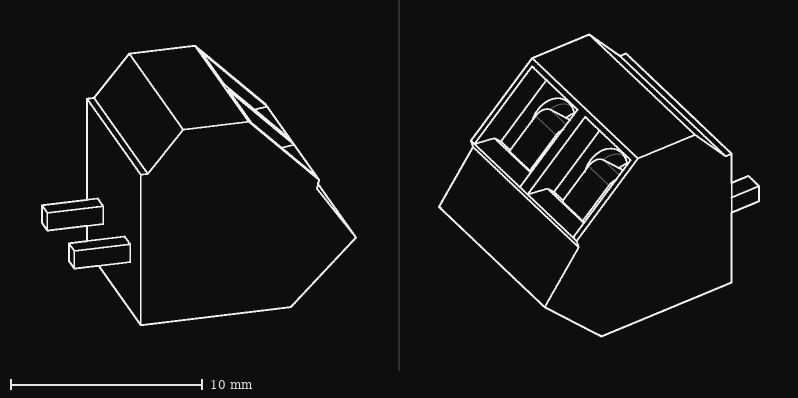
import cadquery as cq
import math


body_width = 10.01
body_depth = 11.70
body_height = 10.92
nose_height = 3.54
base_depth = 8.15
front_wall_height = 8.63
front_ledge_depth = 0.38
top_front_y = 2.30
top_back_y = 5.87
lip_drop = 3.83
lip_y = top_back_y + lip_drop
lip_z = body_height - lip_drop
lip_undercut = 0.13
lip_thickness = 0.48

pole_pitch = body_width / 2
pole_positions = (-pole_pitch / 2, pole_pitch / 2)
pin_size = 1.02
pin_length = 3.03
pin_center_z = 3.27

side_wall = 0.34
center_wall = 0.725
pocket_width = (body_width - center_wall) / 2 - side_wall
pocket_center_offset = (center_wall + pocket_width) / 2
pocket_lower_up = 0.77
pocket_upper_up = 5.09
pocket_depth = 1.57
ramp_depth = 1.0

well_mouth_radius = 1.42
well_radius = 1.30
well_taper_depth = 0.55
well_depth = 2.0
well_center_up = 3.33
clamp_width = 1.94
clamp_top_depth = 1.20
clamp_end_up = 3.75
clamp_bend_radius = 0.65


def on_slope(up, depth):
    """Return the (Y, Z) point a distance up the 45 degree face and a depth below it."""
    return (lip_y - (up + depth) / math.sqrt(2), lip_z + (up - depth) / math.sqrt(2))


def prism(outline, center_x, width):
    """Extrude a (Y, Z) outline along X, centered on center_x."""
    start_x = center_x - width / 2
    return cq.Workplane("YZ", origin=(start_x, 0, 0)).polyline(outline).close().extrude(width)


def make_body():
    outline = [
        (0, 0),
        (base_depth, 0),
        (body_depth, nose_height),
        (lip_y - lip_undercut, lip_z - lip_thickness),
        (lip_y, lip_z),
        (top_back_y, body_height),
        (top_front_y, body_height),
        (front_ledge_depth, front_wall_height),
        (0, front_wall_height),
    ]
    return prism(outline, 0, body_width)


def make_pocket(center_x):
    outline = [
        on_slope(0, 0),
        on_slope(pocket_lower_up, ramp_depth),
        on_slope(pocket_lower_up, pocket_depth),
        on_slope(pocket_upper_up, pocket_depth),
        on_slope(pocket_upper_up, 0),
    ]
    return prism(outline, center_x, pocket_width)


def make_well(center_x):
    center_y, center_z = on_slope(well_center_up, pocket_depth)
    floor_plane = cq.Plane(origin=(center_x, center_y, center_z), xDir=(1, 0, 0), normal=(0, 1, 1))
    bore = cq.Workplane(floor_plane).circle(well_radius).extrude(-well_depth)
    mouth = cq.Solid.makeCone(
        well_mouth_radius, well_radius, well_taper_depth, floor_plane.origin, -floor_plane.zDir
    )
    return bore.union(cq.Workplane(mouth))


def make_clamp(center_x):
    clamp_bottom_depth = pocket_depth + well_depth
    bend_mid = clamp_bend_radius * (1 - math.sqrt(0.5))
    start_x = center_x - clamp_width / 2
    return (
        cq.Workplane("YZ", origin=(start_x, 0, 0))
        .moveTo(*on_slope(pocket_lower_up, clamp_bottom_depth))
        .lineTo(*on_slope(pocket_lower_up, clamp_top_depth))
        .lineTo(*on_slope(clamp_end_up - clamp_bend_radius, clamp_top_depth))
        .threePointArc(
            on_slope(clamp_end_up - bend_mid, clamp_top_depth + bend_mid),
            on_slope(clamp_end_up, clamp_top_depth + clamp_bend_radius),
        )
        .lineTo(*on_slope(clamp_end_up, clamp_bottom_depth))
        .close()
        .extrude(clamp_width)
    )


def make_pin(center_x):
    pin = cq.Workplane("XY").box(pin_size, pin_length, pin_size)
    return pin.translate((center_x, -pin_length / 2, pin_center_z))


result = make_body()
for pocket_x in (-pocket_center_offset, pocket_center_offset):
    result = result.cut(make_pocket(pocket_x))
for pole_x in pole_positions:
    result = result.cut(make_well(pole_x))
    result = result.union(make_clamp(pole_x))
    result = result.union(make_pin(pole_x))